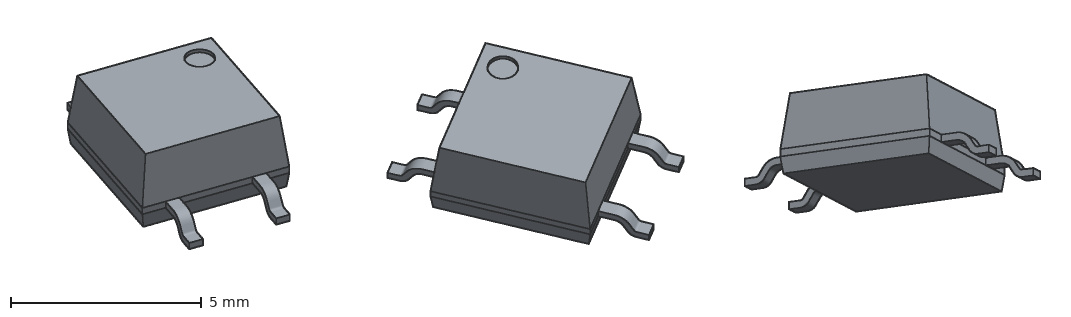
import cadquery as cq
import math

span = 7.2
body_length = 4.4
body_width = 4.3
height = 2.2

lead_thickness = 0.2
lead_width = 0.4
lead_pitch = 2.54
foot_length = 0.33
shoulder_bend_start = 0.96
foot_inner_radius = 0.1
shoulder_inner_radius = 0.3
bend_angle = math.radians(56.5)

band_bottom = 0.45
band_top = band_bottom + lead_thickness
upper_inset = 0.19
lower_inset = 0.06

dimple_diameter = 0.81
dimple_depth = 0.1
dimple_x = -1.31
dimple_y = lead_pitch / 2


def tapered_block(start_z, end_z, inset):
    """Block with the widest section at start_z, narrowed by inset on each side at end_z."""
    return (
        cq.Workplane("XY", origin=(0, 0, start_z))
        .rect(body_length, body_width)
        .workplane(offset=end_z - start_z)
        .rect(body_length - 2 * inset, body_width - 2 * inset)
        .loft(ruled=True)
    )


def make_upper_mould():
    upper = tapered_block(band_top, height, upper_inset)
    dimple = (
        cq.Workplane("XY", origin=(dimple_x, dimple_y, height - dimple_depth))
        .circle(dimple_diameter / 2)
        .extrude(dimple_depth)
    )
    return upper.cut(dimple)


def make_middle_band():
    return (
        cq.Workplane("XY", origin=(0, 0, band_bottom))
        .rect(body_length, body_width)
        .extrude(lead_thickness)
    )


def make_lower_mould():
    return tapered_block(band_bottom, 0, lower_inset)


def make_lead(y_center):
    """Gull-wing lead on the -X side."""
    tip_x = -span / 2
    body_x = -body_length / 2
    foot_x = tip_x + foot_length
    shoulder_x = tip_x + shoulder_bend_start
    foot_outer_radius = foot_inner_radius + lead_thickness
    shoulder_outer_radius = shoulder_inner_radius + lead_thickness
    foot_center_z = foot_outer_radius
    shoulder_center_z = band_bottom - shoulder_inner_radius

    def foot_point(radius, angle):
        return (foot_x + radius * math.sin(angle), foot_center_z - radius * math.cos(angle))

    def shoulder_point(radius, angle):
        return (shoulder_x - radius * math.sin(angle), shoulder_center_z + radius * math.cos(angle))

    half_angle = bend_angle / 2
    profile = (
        cq.Workplane("XZ", origin=(0, y_center, 0))
        .moveTo(tip_x, 0)
        .lineTo(foot_x, 0)
        .threePointArc(foot_point(foot_outer_radius, half_angle), foot_point(foot_outer_radius, bend_angle))
        .lineTo(*shoulder_point(shoulder_inner_radius, bend_angle))
        .threePointArc(shoulder_point(shoulder_inner_radius, half_angle), (shoulder_x, band_bottom))
        .lineTo(body_x, band_bottom)
        .lineTo(body_x, band_top)
        .lineTo(shoulder_x, band_top)
        .threePointArc(
            shoulder_point(shoulder_outer_radius, half_angle),
            shoulder_point(shoulder_outer_radius, bend_angle),
        )
        .lineTo(*foot_point(foot_inner_radius, bend_angle))
        .threePointArc(foot_point(foot_inner_radius, half_angle), (foot_x, lead_thickness))
        .lineTo(tip_x, lead_thickness)
        .close()
    )
    return profile.extrude(lead_width / 2, both=True)


upper_mould = make_upper_mould()
middle_band = make_middle_band()
lower_mould = make_lower_mould()

leads = []
for y_center in (-lead_pitch / 2, lead_pitch / 2):
    left_lead = make_lead(y_center)
    leads.append(left_lead.val())
    leads.append(left_lead.mirror("YZ").val())

result = cq.Compound.makeCompound([upper_mould.val(), middle_band.val(), lower_mould.val(), *leads])